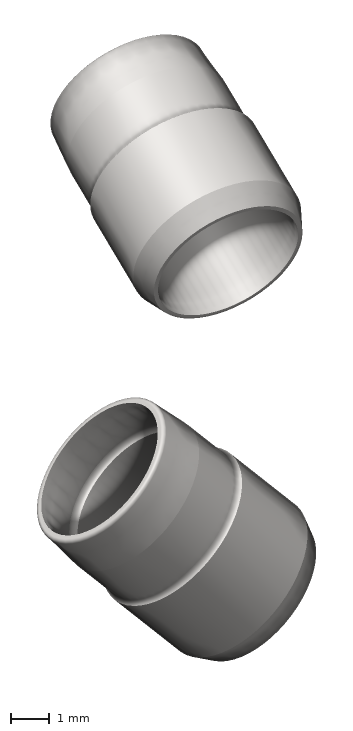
import cadquery as cq
import math

length = 6.0
body_radius = 2.4
bore_radius = 4.0 / 2

neck_radius = 4.6 / 2
lip_radius = 2.21
rim_round = 0.1
taper_end = 1.265

shoulder_start = 2.645
step_fillet = 0.2

chamfer_length = 0.65
chamfer_depth = 0.275

rim_radius = lip_radius - rim_round
flare_radius = 2.125
flare_end = 1.22


def arc_middle(start_x, fillet, base_radius, sweep, side):
    """Middle point of a concave arc that starts parallel to the axis; side is 1 outward, -1 inward."""
    half = sweep / 2
    x = start_x + fillet * math.sin(half)
    radius = base_radius + side * fillet * (1 - math.cos(half))
    return (x, radius)


shoulder_sweep = math.acos(1 - (body_radius - neck_radius) / step_fillet)
shoulder_end = shoulder_start + step_fillet * math.sin(shoulder_sweep)
shoulder_middle = arc_middle(shoulder_start, step_fillet, neck_radius, shoulder_sweep, 1)
flare_sweep = math.acos(1 - (flare_radius - bore_radius) / step_fillet)
bore_start = flare_end + step_fillet * math.sin(flare_sweep)
flare_middle = arc_middle(flare_end, step_fillet, flare_radius, flare_sweep, -1)
rim_middle = (
    rim_round * (1 - math.sqrt(0.5)),
    rim_radius + rim_round * math.sqrt(0.5),
)

section = (
    cq.Workplane("XY")
    .moveTo(0, bore_radius)
    .lineTo(0, rim_radius)
    .threePointArc(rim_middle, (rim_round, lip_radius))
    .lineTo(taper_end, neck_radius)
    .lineTo(shoulder_start, neck_radius)
    .threePointArc(shoulder_middle, (shoulder_end, body_radius))
    .lineTo(length - chamfer_length, body_radius)
    .lineTo(length, body_radius - chamfer_depth)
    .lineTo(length, bore_radius)
    .lineTo(bore_start, bore_radius)
    .threePointArc(flare_middle, (flare_end, flare_radius))
    .close()
)

result = section.revolve(360, (0, 0, 0), (1, 0, 0))